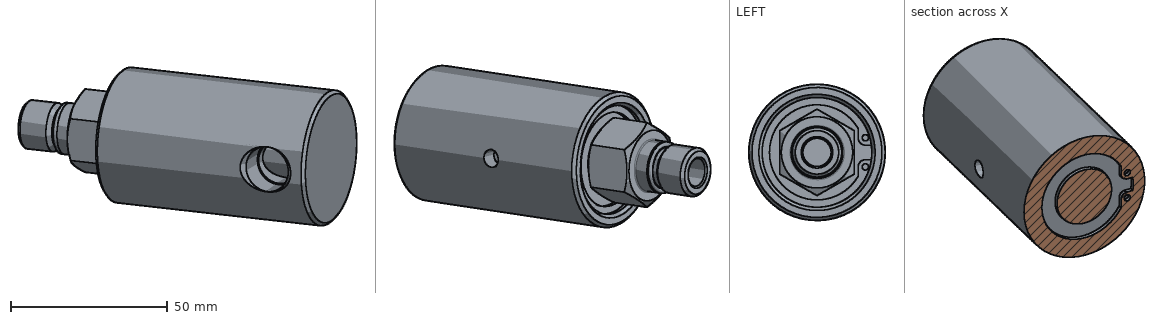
import cadquery as cq
import math

total_length = 106.0

body_start = 33.0
body_diameter = 43.7
body_chamfer = 1.1

tip_diameter = 13.9
tip_chamfer = 1.1
stub_diameter = 15.8
taper_start = 10.1
neck_diameter = 12.9
collar_diameter = 16.6
collar_start = 14.1
bead_radius = 0.8
collar_fillet = 0.37

bore_diameter = 9.0
bore_chamfer = 0.5
bore_depth = body_start

hex_start = 19.0
hex_end = 35.2
hex_flats = 24.0
hex_corners = hex_flats / math.cos(math.pi / 6)
hex_face_diameter = 22.8
hex_chamfer_angle = 30.0
shaft_diameter = 19.8

recess_diameter = 35.1
recess_mouth_diameter = 37.2
recess_chamfer = (recess_mouth_diameter - recess_diameter) / 2
recess_depth = 3.6
recess_floor = body_start + recess_depth

ring_thickness = 1.3
ring_start = recess_floor - ring_thickness
ring_inner_diameter = 30.4
ring_gap = 4.7
ear_radius = 2.3
ear_hole_diameter = 2.0
ear_hole_y = -15.5
ear_hole_z = ring_gap / 2 + ear_radius

port_x = 92.5
port_mouth_diameter = 17.6
port_diameter = 14.7
port_depth = 10.6
port_end_diameter = 13.9
core_diameter = 15.8

rear_hole_x = 66.3
rear_hole_diameter = 5.7
rear_hole_depth = 5.3

body_radius = body_diameter / 2
x_axis = cq.Vector(1, 0, 0)
y_axis = cq.Vector(0, 1, 0)


def disc(start, end, diameter, y=0, z=0):
    """Cylinder parallel to X between two positions."""
    plane = cq.Workplane("YZ", origin=(start, y, z))
    return plane.circle(diameter / 2).extrude(end - start)


def countersink(mouth_diameter, hole_diameter, depth, center, direction):
    """Cone narrowing from a mouth to a hole."""
    return cq.Workplane(
        cq.Solid.makeCone(mouth_diameter / 2, hole_diameter / 2, depth, center, direction)
    )


def cross_hole(diameter, depth, center, direction):
    """Cylinder drilled from a point on the side of the body."""
    return cq.Workplane(cq.Solid.makeCylinder(diameter / 2, depth, center, direction))


def revolve_about_x(profile):
    return profile.close().revolve(360, (0, 0, 0), (1, 0, 0))


def make_body():
    body = disc(body_start, total_length, body_diameter).faces("<X or >X").chamfer(body_chamfer)
    recess = disc(body_start, recess_floor, recess_diameter)
    mouth = countersink(
        recess_mouth_diameter, recess_diameter, recess_chamfer, cq.Vector(body_start, 0, 0), x_axis
    )
    return body.cut(recess).cut(mouth)


def make_stub():
    stub_radius = stub_diameter / 2
    neck_radius = neck_diameter / 2
    collar_radius = collar_diameter / 2
    taper_end = taper_start + stub_radius - neck_radius
    bead_x = collar_start - bead_radius
    bead_r = collar_radius - bead_radius
    diagonal = bead_radius / math.sqrt(2)
    return revolve_about_x(
        cq.Workplane("XY")
        .moveTo(0, 0)
        .lineTo(0, tip_diameter / 2)
        .lineTo(tip_chamfer, stub_radius)
        .lineTo(taper_start, stub_radius)
        .lineTo(taper_end, neck_radius)
        .lineTo(bead_x, neck_radius)
        .lineTo(bead_x, bead_r - bead_radius)
        .threePointArc((bead_x - diagonal, bead_r + diagonal), (collar_start, bead_r))
        .lineTo(collar_start, collar_radius)
        .lineTo(hex_start - collar_fillet, collar_radius)
        .radiusArc((hex_start, collar_radius + collar_fillet), -collar_fillet)
        .lineTo(hex_start, 0)
    )


def make_hexagon():
    length = hex_end - hex_start
    prism = (
        cq.Workplane("YZ", origin=(hex_start, 0, 0))
        .polygon(6, hex_corners)
        .extrude(length)
        .rotate((0, 0, 0), (1, 0, 0), 90)
    )
    face_radius = hex_face_diameter / 2
    widest_radius = face_radius + length / 2 / math.tan(math.radians(hex_chamfer_angle))
    double_cone = revolve_about_x(
        cq.Workplane("XY")
        .moveTo(hex_start, 0)
        .lineTo(hex_start, face_radius)
        .lineTo(hex_start + length / 2, widest_radius)
        .lineTo(hex_end, face_radius)
        .lineTo(hex_end, 0)
    )
    shaft = disc(hex_end, recess_floor, shaft_diameter)
    return prism.intersect(double_cone).union(shaft)


def make_ear(side):
    """Ear block beside the ring gap, rounded at its free corner; side is +1 or -1 along Z."""
    width = 2 * ear_radius
    height = 3 * ear_radius
    center_y = ear_hole_y + ear_radius - width / 2
    center_z = side * (ring_gap + height) / 2
    block = (
        cq.Workplane("YZ", origin=(ring_start, center_y, center_z))
        .rect(width, height)
        .extrude(ring_thickness)
    )
    gap_side = "<Z" if side > 0 else ">Z"
    return block.faces(gap_side).edges(">Y").fillet(ear_radius)


def make_ring():
    outer = disc(ring_start, recess_floor, recess_diameter)
    gap = (
        cq.Workplane("YZ", origin=(ring_start, -recess_diameter / 2, 0))
        .rect(recess_diameter / 2, ring_gap)
        .extrude(ring_thickness)
    )
    ring = outer.cut(disc(ring_start, recess_floor, ring_inner_diameter)).cut(gap)
    for side in (-1, 1):
        hole = disc(ring_start, recess_floor, ear_hole_diameter, ear_hole_y, side * ear_hole_z)
        ring = ring.union(make_ear(side).intersect(outer)).cut(hole)
    return ring


def make_bore():
    mouth = countersink(
        bore_diameter + 2 * bore_chamfer, bore_diameter, bore_chamfer, cq.Vector(0, 0, 0), x_axis
    )
    return disc(0, bore_depth, bore_diameter).union(mouth)


def make_port():
    center = cq.Vector(port_x, -body_radius, 0)
    mouth_depth = (port_mouth_diameter - port_diameter) / 2
    mouth = countersink(port_mouth_diameter, port_diameter, mouth_depth, center, y_axis)
    port = cross_hole(port_diameter, port_depth, center, y_axis)
    port_end = cross_hole(port_end_diameter, body_radius, center, y_axis)
    core = disc(body_start, total_length, core_diameter)
    return port.union(port_end).union(mouth).cut(core)


def make_rear_hole():
    center = cq.Vector(rear_hole_x, body_radius, 0)
    return cross_hole(rear_hole_diameter, rear_hole_depth, center, -y_axis)


result = make_body().union(make_hexagon()).union(make_stub()).union(make_ring())
result = result.cut(make_bore()).cut(make_port()).cut(make_rear_hole())